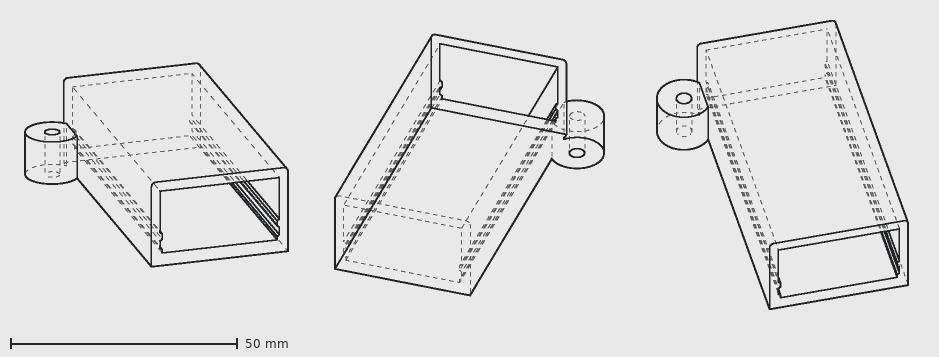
import cadquery as cq

length = 65.5
width = 31.5
height = 19.95
side_wall = 2.0
floor = 3.0
roof = 2.25
top_radius = 1.0

rail_depth = 0.5
slot_bottom = 4.2
slot_height = 1.7
rail_height = 2.0
rail_slope = 0.4

overall_width = 42.0
boss_diameter = 12.0
boss_height = 10.0
screw_hole_diameter = 3.35

boss_radius = boss_diameter / 2
boss_x = boss_radius
boss_y = boss_radius - (overall_width - width)
slot_top = slot_bottom + slot_height
rail_top = slot_top + rail_height


def make_tube():
    """Solid sleeve block with its two upper long edges rounded."""
    block = cq.Workplane("XY").box(length, width, height, centered=False)
    return block.edges("|X and >Z").fillet(top_radius)


def make_cavity():
    """Full-length opening whose side walls carry the guide rails."""
    wall_y = side_wall
    rail_y = side_wall + rail_depth
    near_side = [
        (rail_y, floor),
        (rail_y, slot_bottom - rail_slope),
        (wall_y, slot_bottom),
        (wall_y, slot_top),
        (rail_y, slot_top + rail_slope),
        (rail_y, rail_top - rail_slope),
        (wall_y, rail_top),
        (wall_y, height - roof),
    ]
    far_side = [(width - y, z) for y, z in reversed(near_side)]
    return cq.Workplane("YZ").polyline(near_side + far_side).close().extrude(length)


def make_boss():
    """Round boss whose inner edge is buried in the side wall of the tube."""
    return cq.Workplane("XY").center(boss_x, boss_y).circle(boss_radius).extrude(boss_height)


def make_screw_hole():
    """Vertical hole through the boss."""
    hole = cq.Workplane("XY").center(boss_x, boss_y)
    return hole.circle(screw_hole_diameter / 2).extrude(boss_height)


result = make_tube().union(make_boss()).cut(make_cavity()).cut(make_screw_hole())